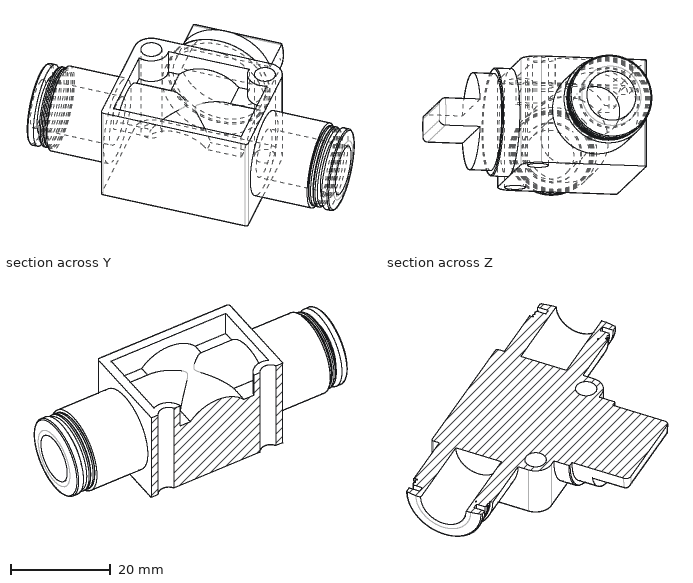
import cadquery as cq

BODY_WIDTH = 31.0
BODY_HEIGHT = 21.7
BODY_FRONT_Y = -10.5
BODY_BACK_Y = 14.5
LUG_RADIUS = 3.5
FRONT_EDGE_RADIUS = 0.5
MOUNT_HOLE_DIAMETER = 4.2

SIDE_WALL = 2.0
BACK_WALL = 3.0
POCKET_FLOOR_Z = 5.4
PORT_CORE_DIAMETER = 16.5
STEM_CORE_DIAMETER = 16.6

PORT_END_X = 32.2
SLEEVE_DIAMETER = 17.5
SLEEVE_END_X = 27.5
RING_COUNT = 2
RING_PITCH = 0.95
RING_LEAD = 0.38
RING_LAND = 0.35
RING_DIAMETER = 16.5
RING_ROOT_DIAMETER = 15.9
NECK_DIAMETER = 12.1
COLLAR_DIAMETER = 16.8
COLLAR_INNER_X = 30.45
COLLAR_RIM_X = 31.6
RIM_CHAMFER = 0.25
END_FACE_DIAMETER = 12.1
BORE_DIAMETER = 10.0

FLANGE_DIAMETER = BODY_HEIGHT
FLANGE_END_Y = 18.0
FLANGE_CHAMFER = 0.2
KNOB_DIAMETER = 19.5
KNOB_SHOULDER_Y = 22.3
KNOB_END_Y = 30.5
BLADE_THICKNESS = 5.6
BLADE_EDGE_RADIUS = 1.1

HALF_WIDTH = BODY_WIDTH / 2
HALF_HEIGHT = BODY_HEIGHT / 2
LUG_X = HALF_WIDTH - LUG_RADIUS
LUG_Y = BODY_BACK_Y - LUG_RADIUS
LUG_CENTERS = [(-LUG_X, LUG_Y), (LUG_X, LUG_Y)]


def cylinder_along_y(diameter, start_y, end_y):
    """Solid cylinder on the Y axis from start_y to end_y."""
    section = cq.Workplane("XZ", origin=(0, start_y, 0)).circle(diameter / 2)
    return section.extrude(start_y - end_y)


def make_block():
    """Body block with rounded lug corners at the back and eased front corners."""
    depth = BODY_BACK_Y - BODY_FRONT_Y
    block = cq.Workplane("XY").box(BODY_WIDTH, depth, BODY_HEIGHT)
    block = block.translate((0, (BODY_BACK_Y + BODY_FRONT_Y) / 2, 0))
    block = block.edges("|Z and >Y").fillet(LUG_RADIUS)
    return block.edges("|Z and <Y").fillet(FRONT_EDGE_RADIUS)


def make_pocket():
    """Volume removed from the block, clear of the lugs and the core cylinders."""
    front_y = BODY_FRONT_Y + SIDE_WALL
    back_y = BODY_BACK_Y - BACK_WALL
    pocket_depth = HALF_HEIGHT - POCKET_FLOOR_Z
    floor = cq.Workplane("XY", origin=(0, 0, POCKET_FLOOR_Z))
    pocket = (
        floor.center(0, (front_y + back_y) / 2)
        .rect(BODY_WIDTH - 2 * SIDE_WALL, back_y - front_y)
        .extrude(pocket_depth)
    )
    lugs = floor.pushPoints(LUG_CENTERS).circle(LUG_RADIUS).extrude(pocket_depth)
    port_core = cq.Workplane("YZ").circle(PORT_CORE_DIAMETER / 2).extrude(HALF_WIDTH, both=True)
    stem_core = cylinder_along_y(STEM_CORE_DIAMETER, BODY_FRONT_Y, BODY_BACK_Y)
    return pocket.cut(lugs).cut(port_core).cut(stem_core)


def make_port():
    """Port on the +X side: sleeve, grip rings, neck and cone-faced collar, revolved about X."""
    root_radius = RING_ROOT_DIAMETER / 2
    ring_radius = RING_DIAMETER / 2
    rings_end_x = SLEEVE_END_X + RING_COUNT * RING_PITCH
    profile = (
        cq.Workplane("XY")
        .moveTo(0, 0)
        .lineTo(0, PORT_CORE_DIAMETER / 2)
        .lineTo(HALF_WIDTH - SIDE_WALL, PORT_CORE_DIAMETER / 2)
        .lineTo(HALF_WIDTH - SIDE_WALL, SLEEVE_DIAMETER / 2)
        .lineTo(SLEEVE_END_X, SLEEVE_DIAMETER / 2)
        .lineTo(SLEEVE_END_X, root_radius)
    )
    for index in range(RING_COUNT):
        tip_x = SLEEVE_END_X + (index + 1) * RING_PITCH
        profile = (
            profile.lineTo(tip_x - RING_LEAD - RING_LAND, ring_radius)
            .lineTo(tip_x - RING_LEAD, ring_radius)
            .lineTo(tip_x, root_radius)
        )
    profile = (
        profile.lineTo(rings_end_x, NECK_DIAMETER / 2)
        .lineTo(COLLAR_INNER_X, NECK_DIAMETER / 2)
        .lineTo(COLLAR_INNER_X, COLLAR_DIAMETER / 2)
        .lineTo(COLLAR_RIM_X, COLLAR_DIAMETER / 2)
        .lineTo(COLLAR_RIM_X + RIM_CHAMFER, COLLAR_DIAMETER / 2 - RIM_CHAMFER)
        .lineTo(PORT_END_X, END_FACE_DIAMETER / 2)
        .lineTo(PORT_END_X, 0)
        .close()
    )
    port = profile.revolve(360, (0, 0, 0), (1, 0, 0))
    bore = (
        cq.Workplane("YZ", origin=(HALF_WIDTH, 0, 0))
        .circle(BORE_DIAMETER / 2)
        .extrude(PORT_END_X - HALF_WIDTH)
    )
    return port.cut(bore)


def make_knob():
    """Flange and round knob whose outer part is cut down to a flat grip blade."""
    flange = cylinder_along_y(FLANGE_DIAMETER, BODY_BACK_Y, FLANGE_END_Y)
    flange = flange.faces(">Y").chamfer(FLANGE_CHAMFER)
    shoulder = cylinder_along_y(KNOB_DIAMETER, FLANGE_END_Y, KNOB_SHOULDER_Y)
    blade_length = KNOB_END_Y - KNOB_SHOULDER_Y
    slab = cq.Workplane("XY").box(KNOB_DIAMETER, blade_length, BLADE_THICKNESS)
    slab = slab.translate((0, KNOB_SHOULDER_Y + blade_length / 2, 0))
    blade = cylinder_along_y(KNOB_DIAMETER, KNOB_SHOULDER_Y, KNOB_END_Y).intersect(slab)
    blade = blade.faces(">Y").edges().fillet(BLADE_EDGE_RADIUS)
    return flange.union(shoulder).union(blade)


port = make_port()
mount_holes = (
    cq.Workplane("XY", origin=(0, 0, -HALF_HEIGHT))
    .pushPoints(LUG_CENTERS)
    .circle(MOUNT_HOLE_DIAMETER / 2)
    .extrude(BODY_HEIGHT)
)

result = make_block().cut(make_pocket())
result = result.union(port).union(port.mirror("YZ")).union(make_knob())
result = result.cut(mount_holes)